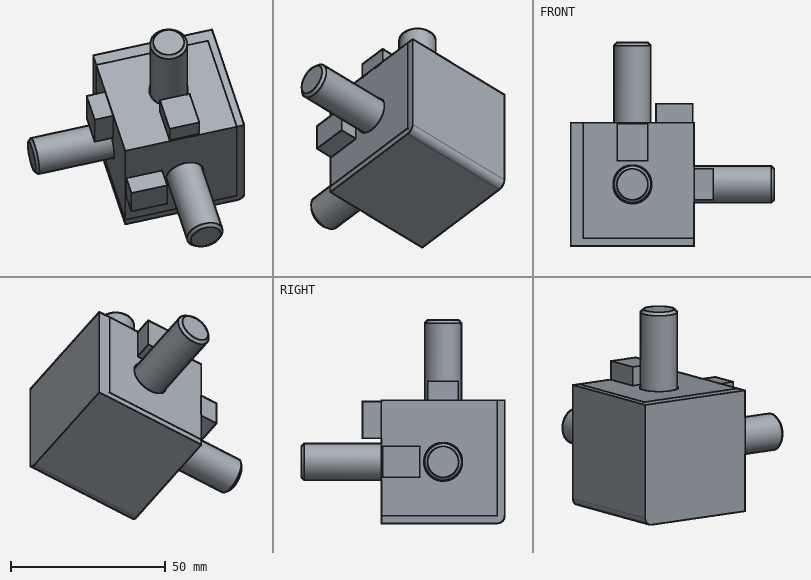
import cadquery as cq

CUBE_SIDE = 40.0
HALF_SIDE = CUBE_SIDE / 2
OVERALL_SIZE = 66.0

SIDE_WALL = 4.0
BACK_WALL = 2.5
FLOOR = BACK_WALL
COVER_EDGE_RADIUS = 2.5

PIN_RADIUS = 6.0
PIN_PROTRUSION = OVERALL_SIZE - CUBE_SIDE
PIN_DEPTH = 9.9
PIN_CHAMFER = 1.0
HOLE_CLEARANCE = 0.25
HOLE_RADIUS = PIN_RADIUS + HOLE_CLEARANCE

TAB_LENGTH = 12.0
TAB_WIDTH = 9.95
TAB_HEIGHT = 6.2
TAB_EDGE_GAP = 0.4
TAB_OFFSET = HALF_SIDE - TAB_EDGE_GAP - TAB_LENGTH / 2

FACE_DIRECTIONS = [
    ((1, 0, 0), (0, -1, 0)),
    ((0, -1, 0), (0, 0, 1)),
    ((0, 0, 1), (1, 0, 0)),
]


def face_plane(normal, tab_direction, height=0.0):
    """Plane parallel to a cube face, height above it, with local X toward the tab."""
    distance = HALF_SIDE + height
    origin = tuple(distance * component for component in normal)
    return cq.Plane(origin=origin, xDir=tab_direction, normal=normal)


def make_core_block():
    """Plain block that fills the cube inside the cover walls."""
    return cq.Workplane("XY").box(
        CUBE_SIDE - SIDE_WALL,
        CUBE_SIDE - BACK_WALL,
        CUBE_SIDE - FLOOR,
    ).translate((SIDE_WALL / 2, -BACK_WALL / 2, FLOOR / 2))


def make_cover():
    """Three-walled cover, rounded where the back wall meets the floor."""
    cube = cq.Workplane("XY").box(CUBE_SIDE, CUBE_SIDE, CUBE_SIDE)
    rounded_cube = cube.faces(">Y").edges("<Z").fillet(COVER_EDGE_RADIUS)
    return rounded_cube.cut(make_core_block())


def make_core():
    """Core block with a blind pin hole and a tab on each fitted face."""
    core = make_core_block()
    for normal, tab_direction in FACE_DIRECTIONS:
        face = cq.Workplane(face_plane(normal, tab_direction))
        hole = face.circle(HOLE_RADIUS).extrude(-PIN_DEPTH)
        tab = face.center(TAB_OFFSET, 0).rect(TAB_LENGTH, TAB_WIDTH).extrude(TAB_HEIGHT)
        core = core.cut(hole).union(tab)
    return core


def make_pin(normal, tab_direction):
    """Round pin from the bottom of its hole to its chamfered outer end."""
    hole_bottom = face_plane(normal, tab_direction, -PIN_DEPTH)
    pin = cq.Workplane(hole_bottom).circle(PIN_RADIUS).extrude(PIN_DEPTH + PIN_PROTRUSION)
    outer_end = pin.faces(cq.selectors.DirectionMinMaxSelector(cq.Vector(*normal)))
    return outer_end.chamfer(PIN_CHAMFER)


cover = make_cover()
core = make_core()
pins = [make_pin(normal, tab_direction) for normal, tab_direction in FACE_DIRECTIONS]

result = cq.Compound.makeCompound([cover.val(), core.val(), *[pin.val() for pin in pins]])